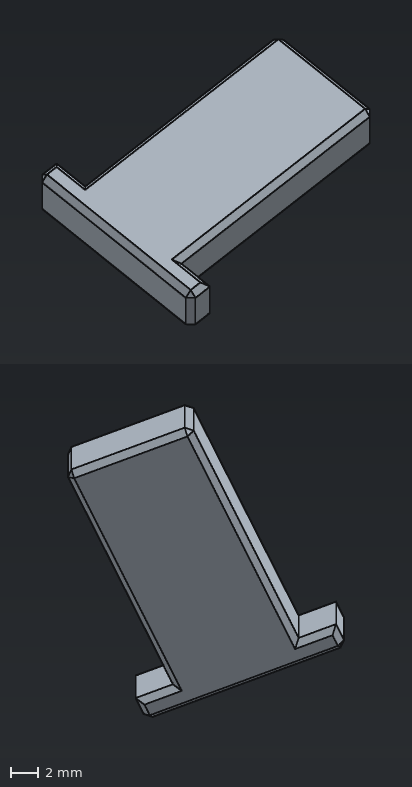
import cadquery as cq

head_width = 16.1
head_depth = 2.0
stem_width = 10.1
total_length = 22.0
thickness = 4.2
chamfer_size = 0.5


def block(width, y_start, y_end):
    """Plate centred on X, resting on Z = 0, between two Y positions."""
    length = y_end - y_start
    return cq.Workplane("XY").box(width, length, thickness, centered=(True, False, False)).translate(
        (0, y_start, 0)
    )


def tee_plate():
    """Wide head along the -Y end with a narrower stem reaching toward +Y."""
    head = block(head_width, 0, head_depth)
    stem = block(stem_width, 0, total_length)
    return head.union(stem)


def chamfer_edges(body):
    """Bevel the top and bottom outlines and the upright corners at both Y ends."""
    end_corners = body.faces("<Y or >Y").edges("|Z")
    outlines = body.faces("<Z or >Z").edges()
    return body.newObject(end_corners.vals() + outlines.vals()).chamfer(chamfer_size)


result = chamfer_edges(tee_plate())